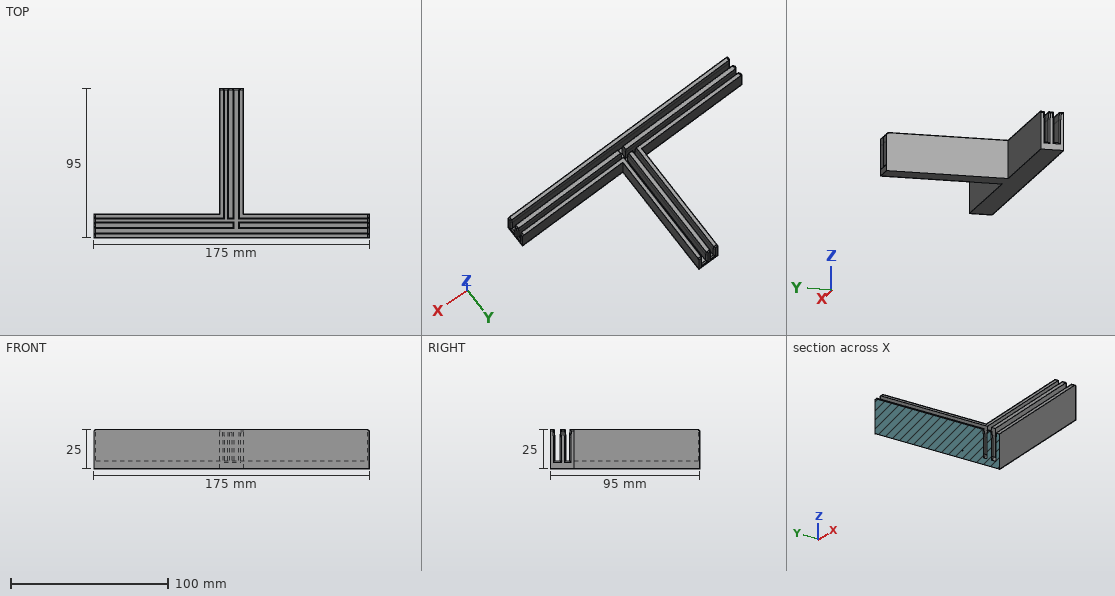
import cadquery as cq

length = 175.0
depth = 95.0
height = 25.0
arm_width = 15.0

wall = 3.0
wide_slot = 3.2
narrow_slot = 2.1
floor = 5.0

flare = 0.5
flare_height = 5.0

bevel = 1.0

half_length = length / 2
half_arm = arm_width / 2
stem_length = depth - half_arm

wide_offset = half_arm - wall - wide_slot / 2
narrow_offset = half_arm - wall - narrow_slot / 2


def slot_points(width, spread):
    """Cross-section of a slot, grown sideways and downwards by spread."""
    lower = width / 2 + spread
    upper = lower + flare
    bottom = floor - spread
    shoulder = height - flare_height
    return [
        (-lower, bottom),
        (lower, bottom),
        (lower, shoulder),
        (upper, height),
        (-upper, height),
        (-lower, shoulder),
    ]


def slot_cutter(width, offset, start, end):
    """Slot along +Y from start to a bevelled mouth at end, centred at X = offset."""
    channel = (
        cq.Workplane("XZ", origin=(offset, end, 0))
        .polyline(slot_points(width, 0))
        .close()
        .extrude(end - start)
    )
    mouth = (
        cq.Workplane("XZ", origin=(offset, end, 0))
        .polyline(slot_points(width, bevel))
        .close()
        .workplane(offset=bevel)
        .polyline(slot_points(width, 0))
        .close()
        .loft(ruled=True, combine=True)
    )
    return channel.union(mouth)


def top_edge_cutter(end):
    """Wedge bevelling the top edge of an arm that ends at Y = end."""
    return (
        cq.Workplane("YZ")
        .polyline([(end, height), (end - bevel, height), (end, height - bevel)])
        .close()
        .extrude(half_arm, both=True)
    )


def along_bar(cutter, angle):
    """Turn a cutter from the stem direction onto one half of the bar."""
    return cutter.rotate((0, 0, 0), (0, 0, 1), angle)


bar = cq.Workplane("XY").box(length, arm_width, height, centered=(True, True, False))
stem = (
    cq.Workplane("XY")
    .box(arm_width, stem_length, height, centered=(True, False, False))
)
body = bar.union(stem)

cutters = [
    slot_cutter(wide_slot, wide_offset, -wide_offset, stem_length),
    slot_cutter(narrow_slot, -narrow_offset, narrow_offset, stem_length),
    top_edge_cutter(stem_length),
]

for angle, side in ((90, 1), (-90, -1)):
    bar_cutters = [
        slot_cutter(wide_slot, -side * wide_offset, 0, half_length),
        slot_cutter(narrow_slot, side * narrow_offset, 0, half_length),
        top_edge_cutter(half_length),
    ]
    cutters += [along_bar(cutter, angle) for cutter in bar_cutters]

for cutter in cutters:
    body = body.cut(cutter)

result = body.translate((0, half_arm - depth / 2, -height / 2))